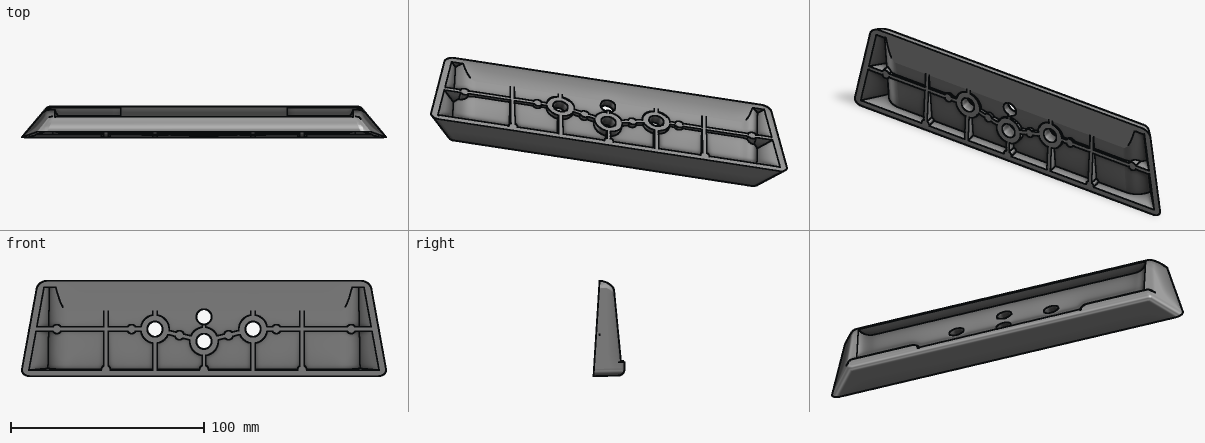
import cadquery as cq
import math

HEIGHT = 49.53
DEPTH = 16.18
WIDTH = 188.73

FRONT_SETBACK = 3.15
BACK_LEAN = 5.5
BOTTOM_RISE = 0.35
SHELF_HEIGHT = 8.0
SHELF_INNER_Y = 14.3
ROOF_BACK_Z = 45.3
ROOF_RADIUS = 9.5
SHELF_CHAMFER = 0.8

FOOT_RADIUS = 3.5
TOP_CORNER_RADIUS = 4.2
BACK_CORNER_RADIUS = 3.6
END_RUN_PER_DEPTH = 0.84
END_RUN_PER_HEIGHT = 0.129
CORNER_OVERSHOOT = 0.64
END_HALF_WIDTH = WIDTH / 2 + CORNER_OVERSHOOT
END_WALL_X = 3.75

POCKET_BOTTOM = 3.2
POCKET_BOTTOM_DRAFT = 0.08
POCKET_TOP = 46.1
FLOOR_EDGE_Z = 33.6
FLOOR_HALF_WIDTH = 70.2
FLOOR_END_RADIUS = 11.7

FLOOR_THICKNESS = 4.4
RIM_HEIGHT = 1.5
SHELF_STEP_Y = 11.3
NOTCH_HALF_WIDTH = 43.2
NOTCH_RADIUS = 4.3

PITCH = 25.4
HOLE_Z = 24.45
HOLE_DIAMETER = 7.8
BOSS_DIAMETER = 14.7
RIB_WIDTH = 2.2
CENTRE_RIB_WIDTH = 1.8
PAD_DIAMETER = 4.7
INNER_PAD_X = 37.5
OUTER_PAD_X = 3 * PITCH
FOOT_PAD_Z = 3.4

EDGE_MARGIN = 0.3

REACH = 120.0

FRONT_SLOPE = FRONT_SETBACK / HEIGHT
LEAN_SLOPE = math.tan(math.radians(BACK_LEAN))
FLOOR_EDGE_Y = FRONT_SLOPE * FLOOR_EDGE_Z
HIGH_HOLE = (0, HOLE_Z + PITCH / 4)
BOSSES = [(-PITCH, HOLE_Z), (0, HOLE_Z - PITCH / 4), (PITCH, HOLE_Z)]


def prism_along_x(outline, half_length=REACH):
    """Symmetric prism along X from a closed YZ outline."""
    return outline.close().extrude(half_length, both=True)


def yz_polygon(points):
    return prism_along_x(cq.Workplane("YZ").polyline(points))


def rod(x, z, diameter):
    """Cylinder along Y through the whole depth."""
    return cq.Workplane("XZ").center(x, z).circle(diameter / 2).extrude(-DEPTH)


def between_end_planes(half_width):
    """Everything between two sloping end planes, half_width being measured at Y = Z = 0."""
    space = cq.Workplane("XY").box(2 * REACH, 2 * REACH, 2 * REACH)
    end_plane = cq.Plane(
        origin=(half_width, 0, 0),
        xDir=(-END_RUN_PER_DEPTH, 1, 0),
        normal=(1, END_RUN_PER_DEPTH, END_RUN_PER_HEIGHT),
    )
    outside = cq.Workplane(end_plane).rect(4 * REACH, 4 * REACH).extrude(2 * REACH)
    return space.cut(outside).cut(outside.mirror("YZ"))


def roof_midpoint(start, end):
    """Middle of the roof arc, bulging upwards from its chord."""
    run, drop = end[0] - start[0], end[1] - start[1]
    chord = math.hypot(run, drop)
    bulge = ROOF_RADIUS - math.sqrt(ROOF_RADIUS ** 2 - (chord / 2) ** 2)
    return (
        (start[0] + end[0]) / 2 + bulge * drop / chord,
        (start[1] + end[1]) / 2 - bulge * run / chord,
    )


def outer_body():
    roof_back = (SHELF_INNER_Y - LEAN_SLOPE * (ROOF_BACK_Z - SHELF_HEIGHT), ROOF_BACK_Z)
    roof_front = (FRONT_SETBACK, HEIGHT)
    bar = prism_along_x(
        cq.Workplane("YZ").moveTo(0, 0)
        .lineTo(DEPTH, BOTTOM_RISE)
        .lineTo(DEPTH, SHELF_HEIGHT)
        .lineTo(SHELF_INNER_Y, SHELF_HEIGHT)
        .lineTo(*roof_back)
        .threePointArc(roof_midpoint(roof_back, roof_front), roof_front)
    )
    return round_edges(bar.intersect(between_end_planes(END_HALF_WIDTH)))


def edges_where(body, wanted):
    """Edges of the body whose centre point satisfies the given test."""
    return body.newObject([edge for edge in body.edges().vals() if wanted(edge.Center())])


def round_edges(body):
    """Round the end walls' outer corners and the foot."""
    middle_z = HEIGHT / 2
    shelf_middle_z = SHELF_HEIGHT / 2

    def at_end(c):
        return abs(c.x) > FLOOR_HALF_WIDTH

    def at_bottom(c):
        return c.z < BOTTOM_RISE + EDGE_MARGIN

    def at_back(c):
        return c.y > DEPTH - EDGE_MARGIN

    def end_to_back(c):
        return at_end(c) and c.y > DEPTH / 2 and abs(c.z - middle_z) < SHELF_HEIGHT

    def end_to_roof(c):
        return at_end(c) and c.z > ROOF_BACK_Z

    def around_foot(c):
        bottom = at_bottom(c) and (at_end(c) or at_back(c))
        upright = at_end(c) and at_back(c) and abs(c.z - shelf_middle_z) < EDGE_MARGIN
        return bottom or upright

    body = edges_where(body, end_to_roof).fillet(TOP_CORNER_RADIUS)
    body = edges_where(body, end_to_back).fillet(BACK_CORNER_RADIUS)
    return edges_where(body, around_foot).fillet(FOOT_RADIUS)


def chamfer_shelf(body):
    """Chamfer the back edge of the raised shelf stretches."""
    def shelf_back(c):
        return c.y > DEPTH - EDGE_MARGIN and c.z > SHELF_HEIGHT - EDGE_MARGIN

    return edges_where(body, shelf_back).chamfer(SHELF_CHAMFER)


def floor_prism(outline):
    """Vertical prism tipped about the floor's front edge so that it follows the back lean."""
    prism = outline.close().extrude(REACH, both=True)
    pivot = (0, FLOOR_EDGE_Y, FLOOR_EDGE_Z)
    return prism.rotate(pivot, (1, FLOOR_EDGE_Y, FLOOR_EDGE_Z), BACK_LEAN)


def front_pockets():
    """Hollow behind the front face: flat floor, rolled ends and a deep groove at each end."""
    centre_y = FLOOR_EDGE_Y + FLOOR_END_RADIUS
    quarter = FLOOR_END_RADIUS * math.sqrt(0.5)
    far_x = FLOOR_HALF_WIDTH + FLOOR_END_RADIUS
    hollow = floor_prism(
        cq.Workplane("XY").moveTo(-REACH, -DEPTH)
        .lineTo(REACH, -DEPTH)
        .lineTo(REACH, centre_y)
        .lineTo(far_x, centre_y)
        .threePointArc((FLOOR_HALF_WIDTH + quarter, centre_y - quarter), (FLOOR_HALF_WIDTH, FLOOR_EDGE_Y))
        .lineTo(-FLOOR_HALF_WIDTH, FLOOR_EDGE_Y)
        .threePointArc((-FLOOR_HALF_WIDTH - quarter, centre_y - quarter), (-far_x, centre_y))
        .lineTo(-REACH, centre_y)
    )
    height_band = yz_polygon([
        (0, POCKET_BOTTOM),
        (DEPTH, POCKET_BOTTOM + POCKET_BOTTOM_DRAFT * DEPTH),
        (DEPTH, POCKET_TOP),
        (FRONT_SLOPE * POCKET_TOP, POCKET_TOP),
    ])
    return hollow.intersect(height_band).intersect(between_end_planes(END_HALF_WIDTH - END_WALL_X))


def rib(start, end, width):
    """Straight wall between two XZ points, as deep as the part."""
    length = math.hypot(end[0] - start[0], end[1] - start[1])
    angle = math.degrees(math.atan2(end[1] - start[1], end[0] - start[0]))
    wall = cq.Workplane("XY").box(length, DEPTH, width).rotate((0, 0, 0), (0, 1, 0), -angle)
    return wall.translate(((start[0] + end[0]) / 2, DEPTH / 2, (start[1] + end[1]) / 2))


def pocket_walls():
    """Ribs, bosses and round pads that stay standing in the front pockets."""
    low_boss = BOSSES[1]
    walls = rib((0, 0), HIGH_HOLE, CENTRE_RIB_WIDTH)
    pads = [(0, FOOT_PAD_Z)]
    for side in (-1, 1):
        boss = (side * PITCH, HOLE_Z)
        rib_foot_x = side * 2 * PITCH
        walls = walls.union(rib(boss, (side * REACH, HOLE_Z), RIB_WIDTH))
        walls = walls.union(rib(boss, low_boss, RIB_WIDTH))
        for x in (side * PITCH, rib_foot_x):
            walls = walls.union(rib((x, 0), (x, HEIGHT), RIB_WIDTH))
        pads.append((rib_foot_x, FOOT_PAD_Z))
        pads.append((side * INNER_PAD_X, HOLE_Z))
        pads.append((side * OUTER_PAD_X, HOLE_Z))
        pads.append((side * PITCH / 2, (HOLE_Z + low_boss[1]) / 2))
    for x, z in pads:
        walls = walls.union(rod(x, z, PAD_DIAMETER))
    for x, z in BOSSES:
        walls = walls.union(rod(x, z, BOSS_DIAMETER))
    return walls


def back_cavity():
    """Hollow behind the pocket floors, following them at a constant thickness."""
    centre_y = FLOOR_EDGE_Y + FLOOR_END_RADIUS
    floor_y = FLOOR_EDGE_Y + FLOOR_THICKNESS
    radius = FLOOR_END_RADIUS - FLOOR_THICKNESS
    quarter = radius * math.sqrt(0.5)
    far_x = FLOOR_HALF_WIDTH + radius
    hollow = floor_prism(
        cq.Workplane("XY").moveTo(-FLOOR_HALF_WIDTH, floor_y)
        .lineTo(FLOOR_HALF_WIDTH, floor_y)
        .threePointArc((FLOOR_HALF_WIDTH + quarter, centre_y - quarter), (far_x, centre_y))
        .lineTo(far_x, 2 * DEPTH)
        .lineTo(-far_x, 2 * DEPTH)
        .lineTo(-far_x, centre_y)
        .threePointArc((-FLOOR_HALF_WIDTH - quarter, centre_y - quarter), (-FLOOR_HALF_WIDTH, floor_y))
    )
    height = ROOF_BACK_Z - RIM_HEIGHT - POCKET_BOTTOM
    band = cq.Workplane("XY", origin=(0, 0, POCKET_BOTTOM)).rect(2 * REACH, 2 * REACH).extrude(height)
    return hollow.intersect(band).cut(shelves())


def shelves():
    """Raised side stretches of the back shelf, rounded down to the low middle stretch."""
    side_block = (
        cq.Workplane("XY").box(REACH, DEPTH, SHELF_HEIGHT, centered=False)
        .edges("|Y and <X and >Z").fillet(NOTCH_RADIUS)
        .translate((NOTCH_HALF_WIDTH, SHELF_STEP_Y, 0))
    )
    return side_block.union(side_block.mirror("YZ"))


def build_part():
    part = outer_body().cut(front_pockets().cut(pocket_walls())).cut(back_cavity())
    part = chamfer_shelf(part)
    for x, z in BOSSES + [HIGH_HOLE]:
        part = part.cut(rod(x, z, HOLE_DIAMETER))
    return part


result = build_part()